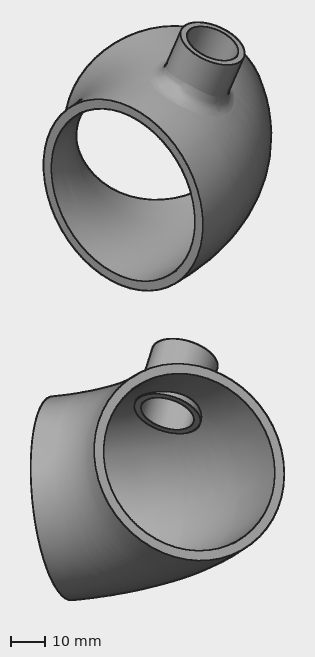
import cadquery as cq
import math

bend_radius = 60.0
pipe_diameter = 60.0
wall = 3.0
bend_angle = 50

branch_azimuth = 22.3
branch_tilt = 21
branch_start = 24.75
branch_end = 44.6
branch_diameter = 20.0
branch_bore = 16.0
blend_radius = 5.0


def swept_elbow(diameter):
    """Solid of circular section swept about the Z axis."""
    return (
        cq.Workplane("XZ")
        .center(bend_radius, 0)
        .circle(diameter / 2)
        .revolve(bend_angle, (-bend_radius, 0, 0), (-bend_radius, 1, 0))
    )


def branch_cylinder(diameter):
    """Solid cylinder along the full length of the branch."""
    azimuth = math.radians(branch_azimuth)
    tilt = math.radians(branch_tilt)
    radial = cq.Vector(math.cos(azimuth), math.sin(azimuth), 0)
    direction = radial * math.sin(tilt) + cq.Vector(0, 0, math.cos(tilt))
    start = radial * bend_radius + direction * branch_start
    plane = cq.Plane(origin=start, normal=direction)
    length = branch_end - branch_start
    return cq.Workplane(plane).circle(diameter / 2).extrude(length)


def blended_body():
    """Solid elbow and branch with a fillet around the outside of their joint."""
    body = swept_elbow(pipe_diameter).union(branch_cylinder(branch_diameter))
    joint = body.edges("%BSPLINE")
    return joint.fillet(blend_radius)


bore = swept_elbow(pipe_diameter - 2 * wall)
branch_tube = branch_cylinder(branch_diameter)
branch_hole = branch_cylinder(branch_bore)
result = blended_body().cut(bore).union(branch_tube).cut(branch_hole)